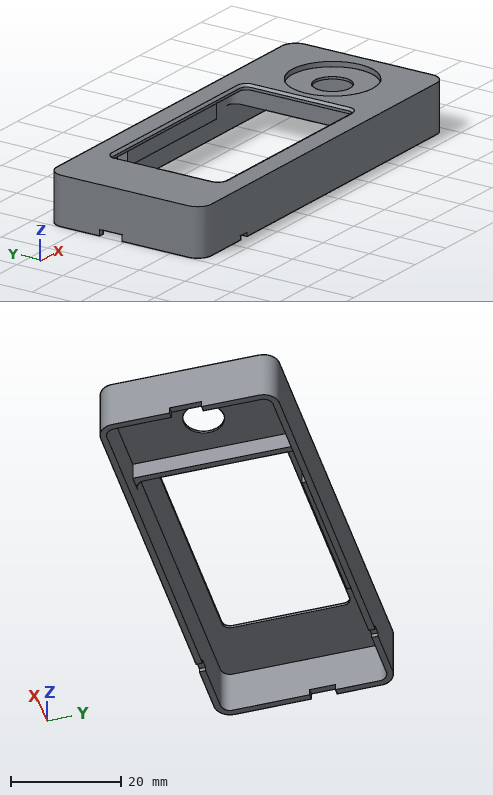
import cadquery as cq

length = 79.5
width = 33.7
height = 10.0
corner_radius = 3.0
wall = 1.2
deck = 1.0

window_length = 43.95
window_width = 24.1
window_center_x = -4.8
window_radius = 1.5
bevel = 0.5

button_x = 28.0
recess_diameter = 17.5
recess_depth = 1.0
button_hole_diameter = 7.55
button_floor = 0.5

rib_bottom_z = -5.0
partition_x = 18.8
partition_thickness = 1.2
side_rib_length = 29.1
side_rib_center_x = -4.2
side_rib_thickness = 2.2

end_notch_height = 1.3
left_notch_y = (0.6, 5.5)
right_notch_y = (-3.0, 3.0)
side_notch_height = 0.8
front_notch_x = (-27.2, -25.1)
back_notch_x = (-27.2, -25.3)

inner_length = length - 2 * wall
inner_width = width - 2 * wall
inner_radius = corner_radius - wall
rib_height = -deck - rib_bottom_z
button_deck = recess_depth + button_floor


def box_between(x_range, y_range, z_range):
    """Axis-aligned box given by its (low, high) limits along each axis."""
    sizes = [high - low for low, high in (x_range, y_range, z_range)]
    corner = (x_range[0], y_range[0], z_range[0])
    return cq.Workplane("XY").box(*sizes, centered=False).translate(corner)


def rounded_block(size_x, size_y, size_z, radius, bottom_z):
    """Block centred on the Z axis with rounded upright edges."""
    block = cq.Workplane("XY", origin=(0, 0, bottom_z)).rect(size_x, size_y).extrude(size_z)
    return block.edges("|Z").fillet(radius)


def make_shell():
    outside = rounded_block(length, width, height, corner_radius, -height)
    cavity = rounded_block(inner_length, inner_width, height - deck, inner_radius, -height)
    return outside.cut(cavity)


def make_partition():
    """Cross wall whose window side blends into the long walls with rounded corners."""
    far_face_x = partition_x + partition_thickness
    near_x = partition_x - inner_radius
    half_width = inner_width / 2
    wall_block = box_between(
        (near_x, far_face_x), (-half_width, half_width), (rib_bottom_z, -deck)
    )
    display_bay = rounded_block(
        2 * partition_x, inner_width, rib_height, inner_radius, rib_bottom_z
    )
    return wall_block.cut(display_bay)


def make_button_deck():
    """Thicker top between the partition and the end wall, carrying the button recess."""
    half_width = inner_width / 2
    bay = box_between(
        (partition_x, length / 2), (-half_width, half_width), (-button_deck, -deck)
    )
    return bay.intersect(rounded_block(length, width, height, corner_radius, -height))


def make_side_rib():
    half_length = side_rib_length / 2
    half_width = inner_width / 2
    return box_between(
        (side_rib_center_x - half_length, side_rib_center_x + half_length),
        (half_width - side_rib_thickness, half_width),
        (rib_bottom_z, -deck),
    )


def rounded_sketch(size_x, size_y, radius):
    return cq.Sketch().rect(size_x, size_y).vertices().fillet(radius)


def make_window():
    """Straight opening through the deck, widening to a bevel at the top face."""
    opening = rounded_block(window_length, window_width, deck, window_radius, -deck)
    lower = rounded_sketch(window_length, window_width, window_radius)
    upper = rounded_sketch(
        window_length + 2 * bevel,
        window_width + 2 * bevel,
        window_radius + bevel,
    )
    rim = (
        cq.Workplane("XY", origin=(0, 0, -bevel))
        .placeSketch(lower, upper.moved(cq.Location(cq.Vector(0, 0, bevel))))
        .loft()
    )
    return opening.union(rim).translate((window_center_x, 0, 0))


def make_button_cut():
    top = cq.Workplane("XY", origin=(button_x, 0, 0))
    recess = top.circle(recess_diameter / 2).extrude(-recess_depth)
    hole = top.circle(button_hole_diameter / 2).extrude(-button_deck)
    return recess.union(hole)


def make_notches():
    """One notch in each end wall and a facing pair in the long walls."""
    end_z = (-height, -height + end_notch_height)
    side_z = (-height, -height + side_notch_height)
    left = box_between((-length / 2, -inner_length / 2), left_notch_y, end_z)
    right = box_between((inner_length / 2, length / 2), right_notch_y, end_z)
    front = box_between(front_notch_x, (-width / 2, -inner_width / 2), side_z)
    back = box_between(back_notch_x, (inner_width / 2, width / 2), side_z)
    return left.union(right).union(front).union(back)


result = (
    make_shell()
    .union(make_partition())
    .union(make_button_deck())
    .union(make_side_rib())
    .cut(make_window())
    .cut(make_button_cut())
    .cut(make_notches())
)